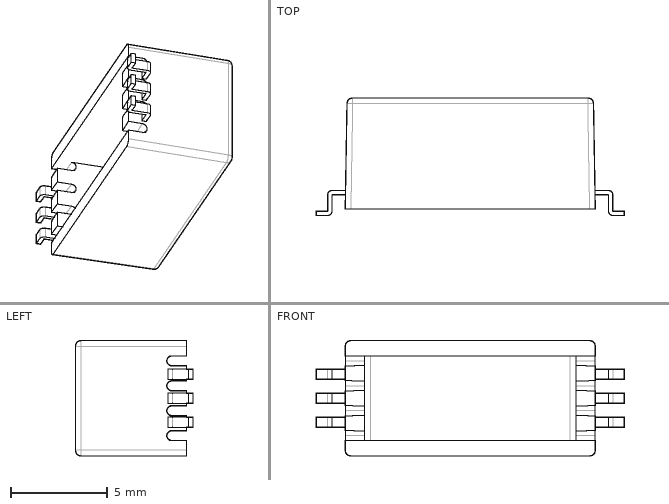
import cadquery as cq

case_depth = 5.78
case_height = 6.0
rim_half_length = 6.5
back_half_length = 6.4
edge_radius = 0.3

slot_count = 4
slot_pitch = 1.3
slot_depth = 1.02
slot_outer_half_width = 0.27
slot_inner_half_width = 0.24

end_wall = 1.0
cavity_half_length = rim_half_length - end_wall
cavity_height = (slot_count - 1) * slot_pitch + 2 * slot_inner_half_width
back_wall = (case_height - cavity_height) / 2

lead_count = 3
lead_pitch = 1.25
lead_width = 0.53
lead_thickness = 0.24
lead_tip = 8.0
foot_reach = 0.6
foot_bottom = -0.34
lead_top = 0.98
lead_root = rim_half_length - end_wall / 2


def centred_positions(count, pitch):
    """Evenly spaced positions, symmetric about zero."""
    return [(i - (count - 1) / 2) * pitch for i in range(count)]


def make_case():
    outline = [
        (-rim_half_length, 0),
        (rim_half_length, 0),
        (back_half_length, case_depth),
        (-back_half_length, case_depth),
    ]
    body = cq.Workplane("XY").polyline(outline).close().extrude(case_height / 2, both=True)
    body = body.edges("not(<Y)").fillet(edge_radius)

    cavity_depth = case_depth - back_wall
    cavity = (
        cq.Workplane("XY")
        .box(2 * cavity_half_length, cavity_depth, cavity_height, centered=(True, False, True))
        .faces(">Y").edges("|Z").fillet(edge_radius)
    )
    return body.cut(cavity)


def slot_profile(x, z, lower_half_width, upper_half_width):
    """Closed wire of a slot, open to the rim, centred on Z = z in the plane at the given X."""
    return (
        cq.Workplane("YZ", origin=(x, 0, z))
        .moveTo(0, -lower_half_width)
        .lineTo(slot_depth - lower_half_width, -lower_half_width)
        .radiusArc((slot_depth, 0), -lower_half_width)
        .radiusArc((slot_depth - upper_half_width, upper_half_width), -upper_half_width)
        .lineTo(0, upper_half_width)
        .close()
        .val()
    )


def make_slots():
    """Slots of the +X end wall; only the sides facing a lead widen outwards."""
    heights = centred_positions(slot_count, slot_pitch)
    slots = cq.Workplane("XY")
    for z in heights:
        lower = slot_inner_half_width if z == heights[0] else slot_outer_half_width
        upper = slot_inner_half_width if z == heights[-1] else slot_outer_half_width
        inner = slot_profile(cavity_half_length, z, slot_inner_half_width, slot_inner_half_width)
        outer = slot_profile(rim_half_length, z, lower, upper)
        slots = slots.add(cq.Solid.makeLoft([inner, outer], True))
    return slots.combine()


def make_leads():
    """Leads of the +X end, sharp inside each bend and rounded outside."""
    leg_outer = lead_tip - foot_reach
    leg_inner = leg_outer - lead_thickness
    shoulder = lead_top - lead_thickness
    foot_top = foot_bottom + lead_thickness
    lead = (
        cq.Workplane("XY")
        .moveTo(lead_root, lead_top)
        .lineTo(leg_inner, lead_top)
        .radiusArc((leg_outer, shoulder), lead_thickness)
        .lineTo(leg_outer, foot_top)
        .lineTo(lead_tip, foot_top)
        .lineTo(lead_tip, foot_bottom)
        .lineTo(leg_outer, foot_bottom)
        .radiusArc((leg_inner, foot_top), lead_thickness)
        .lineTo(leg_inner, shoulder)
        .lineTo(lead_root, shoulder)
        .close()
        .extrude(lead_width / 2, both=True)
    )
    leads = cq.Workplane("XY")
    for z in centred_positions(lead_count, lead_pitch):
        leads = leads.add(lead.translate((0, 0, z)))
    return leads.combine()


slots = make_slots()
leads = make_leads()

result = make_case()
result = result.cut(slots).cut(slots.mirror("YZ"))
result = result.union(leads).union(leads.mirror("YZ"))